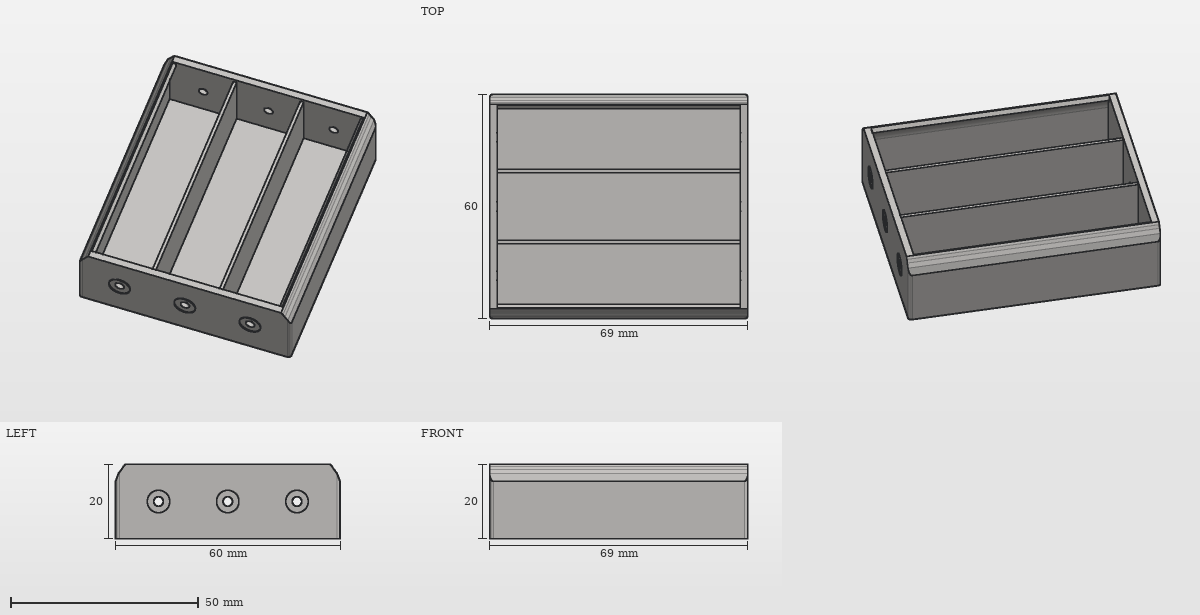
import cadquery as cq

length = 69.0
width = 60.0
height = 20.0
wall = 2.0
floor = 2.0
corner_radius = 1.0

bay_count = 3
divider_thickness = 1.0
divider_drop = 1.0
inner_length = length - 2 * wall
inner_half_width = width / 2 - wall
bay_width = (2 * inner_half_width - (bay_count - 1) * divider_thickness) / bay_count

shoulder_points = [(0, 4.6), (0.8, 2.5), (1.65, 1.4), (2.2, 0.55), (2.7, 0)]

lip_rim_inset = 3.05
lip_tip_inset = 3.9
lip_tip_depth = 1.1
lip_root_depth = 5.05

hole_pitch = 18.5
hole_height = height / 2
hole_diameter = 2.5
recess_diameter = 6.0
recess_depth = 0.3


def make_outer_body():
    """Rounded block trimmed by the faceted shoulders."""
    block = cq.Workplane("XY").box(length, width, height, centered=(True, True, False))
    block = block.edges("|Z").fillet(corner_radius)
    left_shoulder = [(inset - width / 2, height - depth) for inset, depth in shoulder_points]
    right_shoulder = [(-y, z) for y, z in reversed(left_shoulder)]
    outline = [(-width / 2, 0)] + left_shoulder + right_shoulder + [(width / 2, 0)]
    envelope = cq.Workplane("YZ").polyline(outline).close().extrude(length / 2, both=True)
    return block.intersect(envelope)


def make_cavity():
    """Inner space, narrowed at the top by lips with concave undersides."""
    rim_y = width / 2 - lip_rim_inset
    tip_y = width / 2 - lip_tip_inset
    tip_z = height - lip_tip_depth
    root_z = height - lip_root_depth
    half_section = (
        cq.Workplane("YZ")
        .moveTo(0, floor)
        .lineTo(inner_half_width, floor)
        .lineTo(inner_half_width, root_z)
        .tangentArcPoint((tip_y, tip_z), relative=False)
        .lineTo(rim_y, height)
        .lineTo(0, height)
        .close()
    )
    half_cavity = half_section.extrude(inner_length / 2, both=True)
    return half_cavity.union(half_cavity.mirror("XZ"))


def make_divider(y):
    """Thin upright plate spanning the cavity, slightly lower than the end walls."""
    plate_height = height - floor - divider_drop
    plate = cq.Workplane("XY").box(
        inner_length, divider_thickness, plate_height, centered=(True, True, False)
    )
    return plate.translate((0, y, floor))


def make_end_hole(side, y):
    """Hole through one end wall, with a shallow recess in its outer face."""
    outer_face = cq.Workplane("YZ", origin=(side * length / 2, y, hole_height))
    hole = outer_face.circle(hole_diameter / 2).extrude(-side * wall)
    recess = outer_face.circle(recess_diameter / 2).extrude(-side * recess_depth)
    return hole.union(recess)


cavity = make_cavity()
for index in range(1, bay_count):
    divider_y = (index - bay_count / 2) * (bay_width + divider_thickness)
    cavity = cavity.cut(make_divider(divider_y))

result = make_outer_body().cut(cavity)

for side in (-1, 1):
    for index in range(bay_count):
        hole_y = (index - (bay_count - 1) / 2) * hole_pitch
        result = result.cut(make_end_hole(side, hole_y))